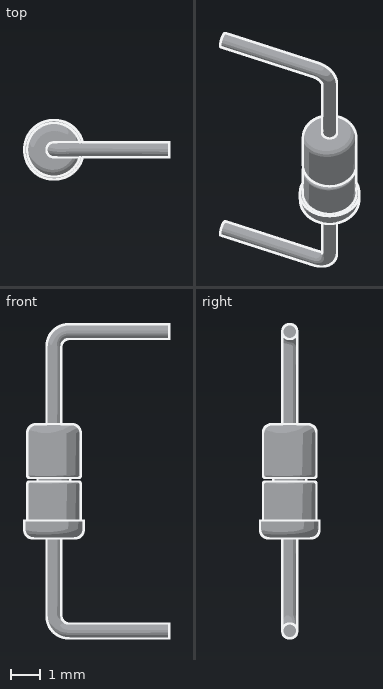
import cadquery as cq

overall_height = 10.5
lead_diameter = 0.5
bend_radius = 0.5
lead_reach = 3.85
lead_level = (overall_height - lead_diameter) / 2

body_height = 3.82
body_radius = 1.8 / 2
end_fillet = 0.3

band_radius = 2.0 / 2
band_height = 0.61

groove_radius = 1.1 / 2
groove_top = 0.1
groove_bottom = 0.0
groove_fillet = 0.09

body_top = body_height / 2
body_bottom = -body_top


def cylinder(radius, bottom, top):
    """Cylinder on the Z axis between two heights."""
    return cq.Workplane("XY").workplane(offset=bottom).circle(radius).extrude(top - bottom)


def make_body():
    """One-piece body: two rounded halves joined by the core of the groove."""
    upper_half = (
        cylinder(body_radius, groove_top, body_top)
        .faces(">Z").edges().fillet(end_fillet)
        .faces("<Z").edges().fillet(groove_fillet)
    )
    lower_half = cylinder(body_radius, body_bottom + end_fillet, groove_bottom)
    lower_half = lower_half.faces(">Z").edges().fillet(groove_fillet)
    band = cylinder(band_radius, body_bottom, body_bottom + band_height)
    band = band.faces("<Z").edges().fillet(end_fillet)
    core = cylinder(groove_radius, groove_bottom, groove_top)
    return upper_half.union(core).union(lower_half).union(band)


def make_lead(side):
    """Wire leaving the end face along Z, then turning to +X; side is 1 for up, -1 for down."""
    path = (
        cq.Workplane("XZ")
        .moveTo(0, side * body_top)
        .lineTo(0, side * (lead_level - bend_radius))
        .tangentArcPoint((bend_radius, side * lead_level), relative=False)
        .lineTo(lead_reach, side * lead_level)
    )
    section = cq.Workplane("XY").workplane(offset=side * body_top).circle(lead_diameter / 2)
    return section.sweep(path)


body = make_body()
leads = [make_lead(side) for side in (1, -1)]

result = cq.Compound.makeCompound([body.val(), *[lead.val() for lead in leads]])